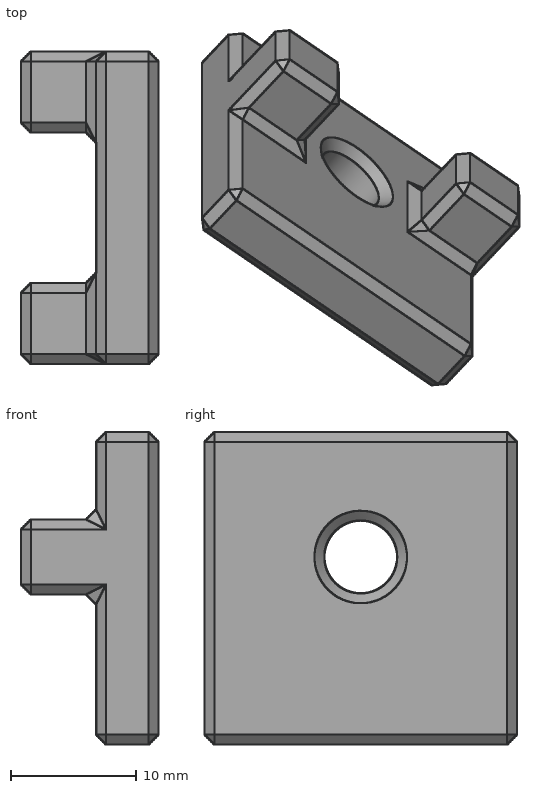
import cadquery as cq

plate_side = 25.0
plate_thickness = 5.0

peg_length = 6.0
peg_width = 6.5
peg_height = 6.0

hole_diameter = 5.8
hole_drop_from_top = 10.0

chamfer_size = 0.8

plate_center_z = hole_drop_from_top - plate_side / 2
plate_front_x = -plate_thickness
peg_tip_x = plate_front_x - peg_length
peg_outer_y = plate_side / 2
peg_inner_y = peg_outer_y - peg_width
peg_top_z = peg_height / 2

peg_root_x = plate_front_x + chamfer_size


def make_plate():
    """Plate with its hole, every edge chamfered."""
    plate = cq.Workplane("XY").box(plate_thickness, plate_side, plate_side)
    plate = plate.translate((plate_front_x / 2, 0, plate_center_z))
    hole = cq.Workplane("YZ").circle(hole_diameter / 2).extrude(plate_front_x)
    return plate.cut(hole).edges().chamfer(chamfer_size)


def make_peg():
    """Peg on the +Y edge of the plate, every edge chamfered except at its root."""
    peg = cq.Workplane("XY").box(peg_root_x - peg_tip_x, peg_width, peg_height)
    peg = peg.edges("<X or |X").chamfer(chamfer_size)
    return peg.translate(((peg_tip_x + peg_root_x) / 2, (peg_inner_y + peg_outer_y) / 2, 0))


def make_polyhedron(outlines):
    faces = []
    for outline in outlines:
        points = [cq.Vector(*point) for point in outline]
        faces.append(cq.Face.makeFromWires(cq.Wire.makePolygon(points, close=True)))
    return cq.Workplane(obj=cq.Solid.makeSolid(cq.Shell.makeShell(faces)))


def make_peg_foot():
    """Sloped foot filling the inner corner between the +Y peg and the plate.

    The slopes meet in a sharp corner on the plate and run out into the peg's
    chamfered edges through flat triangles.
    """
    neck_x = plate_front_x - chamfer_size
    outer_bevel_y = peg_outer_y - chamfer_size
    inner_bevel_y = peg_inner_y + chamfer_size
    foot_inner_y = peg_inner_y - chamfer_size
    bevel_z = peg_top_z - chamfer_size
    foot_top_z = peg_top_z + chamfer_size

    def upper_and_lower(x, y, z):
        return (x, y, z), (x, y, -z)

    neck_side = upper_and_lower(neck_x, peg_outer_y, bevel_z)
    neck_outer = upper_and_lower(neck_x, outer_bevel_y, peg_top_z)
    neck_inner = upper_and_lower(neck_x, inner_bevel_y, peg_top_z)
    neck_end = upper_and_lower(neck_x, peg_inner_y, bevel_z)
    base_outer = upper_and_lower(plate_front_x, outer_bevel_y, foot_top_z)
    base_inner = upper_and_lower(plate_front_x, foot_inner_y, foot_top_z)
    root_side = upper_and_lower(peg_root_x, peg_outer_y, bevel_z)

    def strip(first, second):
        return [first[0], first[1], second[1], second[0]]

    neck_ring = [neck_side, neck_outer, neck_inner, neck_end]
    neck_face = [corner[0] for corner in neck_ring] + [corner[1] for corner in reversed(neck_ring)]
    outlines = [
        neck_face,
        strip(neck_side, root_side),
        strip(root_side, base_outer),
        strip(base_outer, base_inner),
        strip(base_inner, neck_end),
    ]
    mirrored_faces = [
        (neck_side, neck_outer, root_side),
        (neck_outer, base_outer, root_side),
        (neck_outer, base_outer, base_inner, neck_inner),
        (neck_inner, base_inner, neck_end),
    ]
    for corners in mirrored_faces:
        for half in (0, 1):
            outlines.append([corner[half] for corner in corners])
    return make_polyhedron(outlines)


footed_peg = make_peg().union(make_peg_foot())
result = make_plate().union(footed_peg).union(footed_peg.mirror("XZ")).clean()